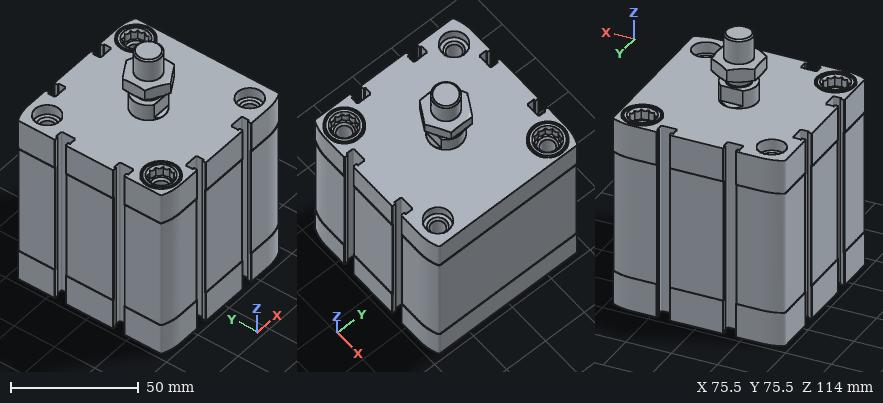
import cadquery as cq
import math

width = 75.5
half_width = width / 2
housing_height = 84.1
cap_height = 15.0
barrel_inset = 0.2

corner_arc_start = 28.3
corner_arc_radius = 21.7
corner_rounding = 1.1

slot_offset = 14.5
slot_mouth_width = 5.2
slot_width = 7.0
slot_depth = 5.4
slot_lip = 1.8
slot_mouth_rounding = 0.3
slot_floor_rounding = 0.6

hole_offset = 28.3
hole_diameter = 6.6
countersink_diameter = 8.5
counterbore_diameter = 12.0
counterbore_depth = 5.0

groove_outer_diameter = 16.4
head_diameter = 15.5
head_chamfer = 0.5
groove_depth = 1.1
socket_diameter = 10.1
socket_point_diameter = 11.1
socket_mouth_diameter = 12.3
socket_lead_in = 1.3

rod_top = 114.0
collar_diameter = 16.0
collar_top = 92.1
wrench_flat_width = 12.9
wrench_flat_bottom = 85.3
neck_diameter = 10.1
neck_bottom = 92.6
neck_top = 93.4
neck_root_diameter = 10.6
thread_diameter = 12.0
thread_start = 96.2
thread_chamfer = 0.7

nut_across_flats = 19.0
nut_bottom = 97.0
nut_height = 6.0
nut_face_diameter = 18.8
nut_chamfer_angle = 17.0

all_round = 360.0


def housing_block(inset, bottom, height):
    """Block with bulged corners, pulled in by `inset` on all four sides."""
    side = half_width - inset
    start = corner_arc_start
    radius = corner_arc_radius - inset
    arc_centre = half_width - corner_arc_radius

    def on_arc(x):
        return arc_centre + math.sqrt(radius**2 - (x - start) ** 2)

    middle = (start + side) / 2
    end_y = on_arc(side)
    middle_y = on_arc(middle)
    return (
        cq.Workplane("XY")
        .workplane(offset=bottom)
        .moveTo(-start, side)
        .lineTo(start, side)
        .threePointArc((middle, middle_y), (side, end_y))
        .lineTo(side, -end_y)
        .threePointArc((middle, -middle_y), (start, -side))
        .lineTo(-start, -side)
        .threePointArc((-middle, -middle_y), (-side, -end_y))
        .lineTo(-side, end_y)
        .threePointArc((-middle, middle_y), (-start, side))
        .close()
        .extrude(height)
        .edges("|Z and (>X or <X)")
        .fillet(corner_rounding)
    )


def slot_cutter(position, inset):
    """Full-height undercut slot opening to -Y at X = `position`, its mouth rounded into the inset face."""
    face = inset - half_width
    lip = slot_lip - half_width
    floor = slot_depth - half_width
    mouth_side = slot_mouth_width / 2
    mouth_edge = mouth_side + slot_mouth_rounding
    mouth = (
        cq.Workplane("XY")
        .moveTo(-mouth_edge, face)
        .radiusArc((-mouth_side, face + slot_mouth_rounding), slot_mouth_rounding)
        .lineTo(-mouth_side, lip)
        .lineTo(mouth_side, lip)
        .lineTo(mouth_side, face + slot_mouth_rounding)
        .radiusArc((mouth_edge, face), slot_mouth_rounding)
        .close()
        .extrude(housing_height)
    )
    pocket = (
        cq.Workplane("XY")
        .center(0, (lip + floor) / 2)
        .rect(slot_width, floor - lip)
        .extrude(housing_height)
        .edges("|Z and >Y")
        .fillet(slot_floor_rounding)
    )
    return mouth.union(pocket).translate((position, 0, 0))


def cut_slots(block, inset):
    """Two slots each in the -Y, -X and +Y faces."""
    for turn in (0, -90, 180):
        for position in (-slot_offset, slot_offset):
            cutter = slot_cutter(position, inset).rotate((0, 0, 0), (0, 0, 1), turn)
            block = block.cut(cutter)
    return block


def cone(bottom_z, bottom_diameter, top_z, top_diameter):
    return cq.Workplane(
        cq.Solid.makeCone(
            bottom_diameter / 2, top_diameter / 2, top_z - bottom_z, pnt=cq.Vector(0, 0, bottom_z)
        )
    )


def cylinder(diameter, bottom_z, top_z):
    return cq.Workplane("XY").workplane(offset=bottom_z).circle(diameter / 2).extrude(top_z - bottom_z)


counterbore_floor = housing_height - counterbore_depth


def through_hole():
    """Through hole, countersunk at the counterbore floor."""
    countersink_depth = (countersink_diameter - hole_diameter) / 2
    countersink = cone(
        counterbore_floor - countersink_depth, hole_diameter, counterbore_floor, countersink_diameter
    )
    return cylinder(hole_diameter, 0, counterbore_floor).union(countersink)


def plain_corner_cutter():
    return through_hole().union(cylinder(counterbore_diameter, counterbore_floor, housing_height))


def screw_corner_cutter():
    """Ring groove round the head, and a socket of two crossed hexagons with a conical lead-in."""
    groove_bottom = housing_height - groove_depth
    head = cylinder(head_diameter, groove_bottom, housing_height).faces(">Z").chamfer(head_chamfer)
    groove = cylinder(groove_outer_diameter, groove_bottom, housing_height).cut(head)

    socket = cylinder(socket_diameter, counterbore_floor, housing_height)
    for turn in (0, 30):
        hexagon = (
            cq.Workplane("XY")
            .workplane(offset=counterbore_floor)
            .polygon(6, socket_point_diameter)
            .extrude(counterbore_depth)
            .rotate((0, 0, 0), (0, 0, 1), turn)
        )
        socket = socket.union(hexagon)
    lead_in = cone(
        housing_height - socket_lead_in,
        socket_diameter,
        housing_height,
        socket_mouth_diameter,
    )
    return through_hole().union(socket).union(lead_in).union(groove)


def make_housing():
    barrel_height = housing_height - 2 * cap_height
    body = cut_slots(housing_block(barrel_inset, cap_height, barrel_height), barrel_inset)
    for bottom in (0, housing_height - cap_height):
        body = body.union(cut_slots(housing_block(0, bottom, cap_height), 0))
    for side in (-1, 1):
        offset = side * hole_offset
        body = body.cut(plain_corner_cutter().translate((offset, -offset, 0)))
        body = body.cut(screw_corner_cutter().translate((offset, offset, 0)))
    return body


def make_piston_rod():
    """Turned rod standing on the housing, with two wrench flats on its collar."""
    collar_radius = collar_diameter / 2
    thread_radius = thread_diameter / 2
    rod = (
        cq.Workplane("XZ")
        .moveTo(0, housing_height)
        .lineTo(collar_radius, housing_height)
        .lineTo(collar_radius, collar_top)
        .lineTo(neck_root_diameter / 2, collar_top)
        .lineTo(neck_diameter / 2, neck_bottom)
        .lineTo(neck_diameter / 2, neck_top)
        .lineTo(thread_radius, thread_start)
        .lineTo(thread_radius, rod_top - thread_chamfer)
        .lineTo(thread_radius - thread_chamfer, rod_top)
        .lineTo(0, rod_top)
        .close()
        .revolve(all_round, (0, 0), (0, 1))
    )
    flat = wrench_flat_width / 2
    flat_cutter = (
        cq.Workplane("YZ")
        .moveTo(flat, collar_top)
        .lineTo(flat, wrench_flat_bottom)
        .lineTo(collar_radius, housing_height)
        .lineTo(collar_radius, collar_top)
        .close()
        .extrude(collar_radius, both=True)
    )
    return rod.cut(flat_cutter).cut(flat_cutter.mirror("XZ"))


def make_nut():
    """Hexagon nut with points along Y and both faces chamfered."""
    point_diameter = nut_across_flats / math.cos(math.pi / 6)
    nut = (
        cq.Workplane("XY")
        .polygon(6, point_diameter)
        .extrude(nut_height)
        .rotate((0, 0, 0), (0, 0, 1), 90)
    )
    face_radius = nut_face_diameter / 2
    point_radius = point_diameter / 2
    drop = (point_radius - face_radius) * math.tan(math.radians(nut_chamfer_angle))
    envelope = (
        cq.Workplane("XZ")
        .lineTo(face_radius, 0)
        .lineTo(point_radius, drop)
        .lineTo(point_radius, nut_height - drop)
        .lineTo(face_radius, nut_height)
        .lineTo(0, nut_height)
        .close()
        .revolve(all_round, (0, 0), (0, 1))
    )
    bore = cylinder(thread_diameter, 0, nut_height)
    return nut.intersect(envelope).cut(bore).translate((0, 0, nut_bottom))


housing = make_housing()
piston_rod = make_piston_rod()
nut = make_nut()

result = cq.Compound.makeCompound([housing.val(), piston_rod.val(), nut.val()])